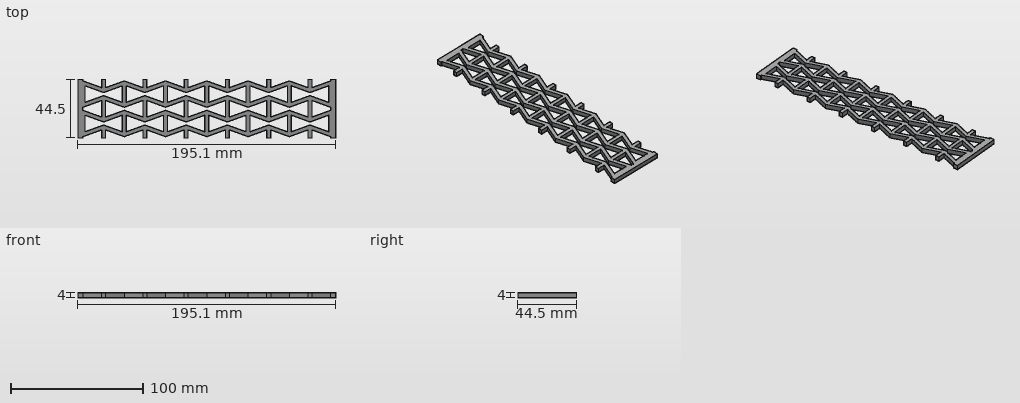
import cadquery as cq
import math

length = 195.1
width = 44.5
thickness = 4.0

column_pitch = 15.6
column_count = 13
rib_count = 4
rib_rise = 5.7
strut_width = 3.1

rib_pitch = width / rib_count
lattice_length = column_pitch * (column_count - 1)
end_bar_width = (length - lattice_length) / 2
rib_height = strut_width * math.hypot(1, rib_rise / column_pitch)

column_x = [i * column_pitch - lattice_length / 2 for i in range(column_count)]
rib_y = [(i + 0.5) * rib_pitch - width / 2 for i in range(rib_count)]


def box(x_min, x_max, y_min, y_max):
    """Full-thickness block spanning the given X and Y ranges."""
    size_x = x_max - x_min
    size_y = y_max - y_min
    block = cq.Workplane("XY").box(size_x, size_y, thickness)
    return block.translate(((x_min + x_max) / 2, (y_min + y_max) / 2, 0))


def node_y(rib, column):
    """Y of a rib's centreline at a column; neighbouring ribs zigzag in opposition."""
    side = 1 if (rib + column) % 2 else -1
    return rib_y[rib] + side * rib_rise / 2


def zigzag_rib(rib):
    """One zigzag rib running between the two end bars."""
    nodes = [(x, node_y(rib, column)) for column, x in enumerate(column_x)]
    upper_edge = [(x, y + rib_height / 2) for x, y in nodes]
    lower_edge = [(x, y - rib_height / 2) for x, y in nodes]
    outline = upper_edge + lower_edge[::-1]
    rib_solid = cq.Workplane("XY").polyline(outline).close().extrude(thickness)
    return rib_solid.translate((0, 0, -thickness / 2))


def column_struts(column):
    """Straight struts of one column: they join ribs where these bow apart, or stub out to the sides."""
    ends = [-width / 2]
    ends += [node_y(rib, column) for rib in range(rib_count)]
    ends += [width / 2]
    x = column_x[column]
    first_wide_gap = (column + 1) % 2
    x_min = x - strut_width / 2
    x_max = x + strut_width / 2
    return [box(x_min, x_max, ends[i], ends[i + 1]) for i in range(first_wide_gap, len(ends) - 1, 2)]


left_bar = box(-length / 2, -length / 2 + end_bar_width, -width / 2, width / 2)
right_bar = box(length / 2 - end_bar_width, length / 2, -width / 2, width / 2)

result = left_bar.union(right_bar)
for rib in range(rib_count):
    result = result.union(zigzag_rib(rib))
for column in range(column_count):
    for strut in column_struts(column):
        result = result.union(strut)
result = result.clean()